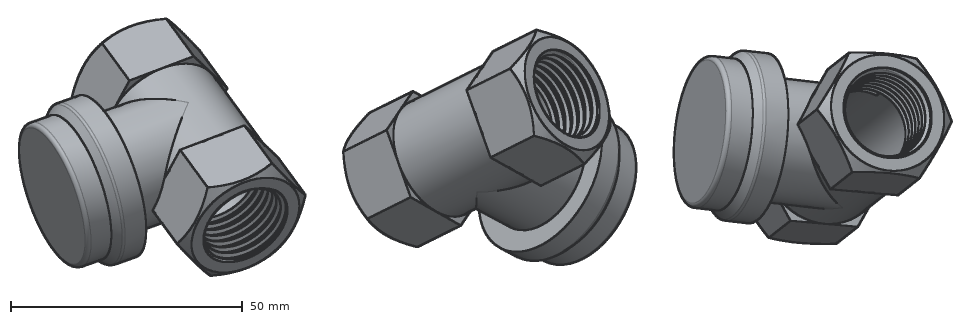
import cadquery as cq
import math

run_length = 54.0
body_radius = 13.5

hex_across_flats = 27.0
hex_length = 15.0
hex_turn = 1.5
hex_face_radius = 13.05
hex_chamfer_angle = 38.0
cone_margin = 0.55

bore_radius = 9.25
bore_mouth_radius = 10.2
bore_chamfer_length = 1.0
sleeve_radius = 11.9
thread_pitch = 2.0
thread_crest = 0.2
thread_depth = 0.9
thread_flank_angle = 30.0
thread_phase = 200.0
thread_turns = 8
groove_overlap = 0.05

flange_start = 19.65
flange_radius = 18.495
neck_start = 27.1
neck_radius = 16.5
branch_end = 33.0
branch_end_round = 0.95
flange_edge_round = 0.85

hex_corner_radius = hex_across_flats / math.sqrt(3)
end_x = run_length / 2


def revolve_about_run(points):
    """Revolve (x, radius) points about the run axis."""
    return cq.Workplane("XY").polyline(points).close().revolve(360, (0, 0), (1, 0))


def hex_end():
    """Hexagon at the +X end, with its outer corners cut back by a cone."""
    inner_x = end_x - hex_length
    prism = (
        cq.Workplane("YZ", origin=(inner_x, 0, 0))
        .polygon(6, 2 * hex_corner_radius)
        .extrude(hex_length)
        .rotate((0, 0, 0), (1, 0, 0), hex_turn)
    )
    cone_radius = hex_corner_radius + cone_margin
    cone_length = (cone_radius - hex_face_radius) * math.tan(math.radians(hex_chamfer_angle))
    envelope = revolve_about_run([
        (inner_x, 0),
        (end_x, 0),
        (end_x, hex_face_radius),
        (end_x - cone_length, cone_radius),
        (inner_x, cone_radius),
    ])
    return prism.intersect(envelope)


def branch():
    """Closed round branch with a bevelled flange and a narrower cap."""
    bevel_start = neck_start - (flange_radius - neck_radius)
    profile = [
        (0, 0),
        (body_radius, 0),
        (body_radius, -flange_start),
        (flange_radius, -flange_start),
        (flange_radius, -bevel_start),
        (neck_radius, -neck_start),
        (neck_radius, -branch_end),
        (0, -branch_end),
    ]
    solid = cq.Workplane("XY").polyline(profile).close().revolve(360, (0, 0), (0, 1))
    solid = solid.faces("<Y").edges().fillet(branch_end_round)
    at_bevel = cq.selectors.BoxSelector(
        (-54, -bevel_start - 0.05, -54), (54, -bevel_start + 0.05, 54))
    return solid.edges(at_bevel).fillet(flange_edge_round)


def thread_groove():
    """Helical groove running inward from just outside the -X end."""
    flank_slope = math.tan(math.radians(thread_flank_angle))
    mouth_half = (thread_pitch - thread_crest) / 2
    inner_half = mouth_half + groove_overlap * flank_slope
    root_half = mouth_half - thread_depth * flank_slope
    inner_radius = bore_radius - groove_overlap
    root_radius = bore_radius + thread_depth
    section = cq.Workplane("XZ").polyline([
        (inner_radius, -inner_half),
        (root_radius, -root_half),
        (root_radius, root_half),
        (inner_radius, inner_half),
    ]).close()
    helix = cq.Wire.makeHelix(thread_pitch, thread_pitch * thread_turns, bore_radius)
    groove = section.sweep(cq.Workplane(helix), isFrenet=True)
    groove = groove.rotate((0, 0, 0), (0, 1, 0), 90).rotate((0, 0, 0), (1, 0, 0), thread_phase)
    return groove.translate((-end_x - thread_pitch, 0, 0))


def threaded_sleeve():
    """Half of the bore lining, from the -X end to the middle: bore, thread and conical mouth."""
    sleeve = (
        cq.Workplane("YZ", origin=(-end_x, 0, 0))
        .circle(sleeve_radius)
        .circle(bore_radius)
        .extrude(end_x)
    )
    mouth_cone = revolve_about_run([
        (-end_x, 0),
        (-end_x, bore_mouth_radius),
        (-end_x + bore_chamfer_length, bore_radius),
        (-end_x + bore_chamfer_length, 0),
    ])
    return sleeve.cut(thread_groove()).cut(mouth_cone)


run_middle = cq.Workplane("YZ").circle(body_radius).extrude(end_x - hex_length, both=True)
hexagon = hex_end()
tee = run_middle.union(branch()).union(hexagon).union(hexagon.mirror("YZ"))

sleeve_space = cq.Workplane("YZ").circle(sleeve_radius).extrude(end_x, both=True)
sleeve = threaded_sleeve()
result = tee.cut(sleeve_space).union(sleeve).union(sleeve.rotate((0, 0, 0), (0, 0, 1), 180))